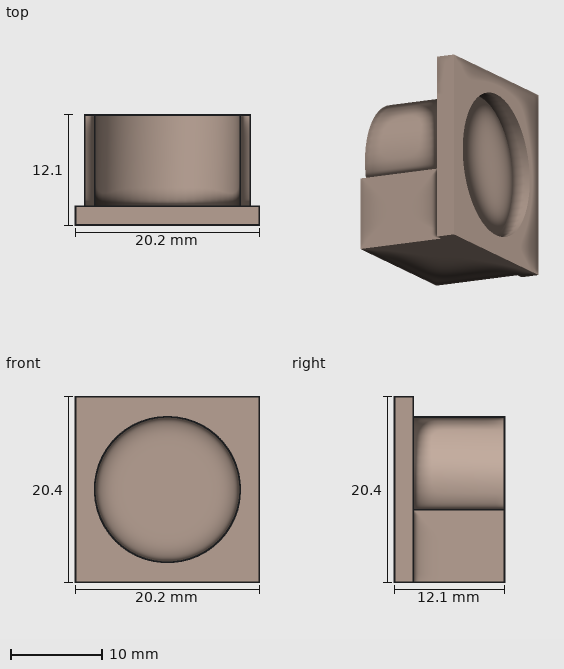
import cadquery as cq

plate_width = 20.2
plate_height = 20.4
plate_thickness = 2.1

body_diameter = 16.0
body_length = 10.0
recess_depth = plate_thickness

foot_width = 18.2
foot_height = 8.0

center_height = plate_height / 2


def make_plate():
    return cq.Workplane("XY").box(
        plate_width, plate_thickness, plate_height, centered=(True, False, False)
    )


def make_disc(start_y, length):
    """Cylinder along +Y on the plate's center axis."""
    center = cq.Vector(0, start_y, center_height)
    disc = cq.Solid.makeCylinder(body_diameter / 2, length, center, cq.Vector(0, 1, 0))
    return cq.Workplane(disc)


def make_foot():
    return (
        cq.Workplane("XY")
        .box(foot_width, body_length, foot_height, centered=(True, False, False))
        .translate((0, plate_thickness, 0))
    )


body = make_disc(plate_thickness, body_length)
recess = make_disc(0, recess_depth)
result = make_plate().union(body).union(make_foot()).cut(recess)